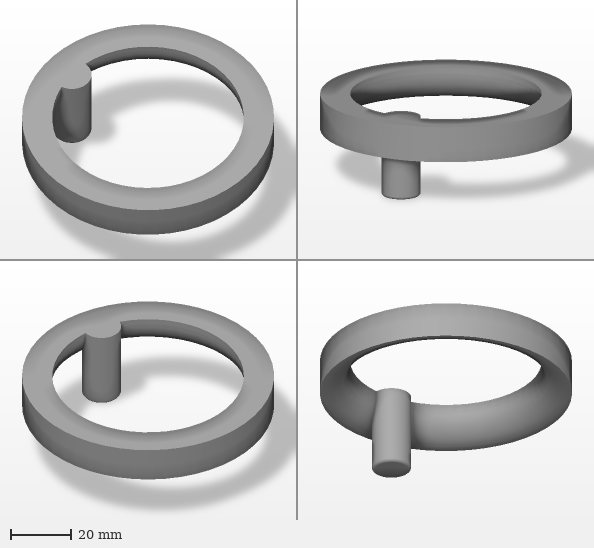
import cadquery as cq

outer_diameter = 83.4
opening_diameter = 63.4
ring_height = 12.0
straight_depth = 2.0

pin_diameter = 13.0
pin_end_round = 1.0
total_height = 27.0

outer_radius = outer_diameter / 2
opening_radius = opening_diameter / 2
round_radius = outer_radius - opening_radius


def make_ring():
    """Revolve a section whose inner lower corner is a large quarter round."""
    round_height = ring_height - straight_depth
    return (
        cq.Workplane("XZ")
        .moveTo(opening_radius, ring_height)
        .lineTo(outer_radius, ring_height)
        .lineTo(outer_radius, 0)
        .radiusArc((opening_radius, round_height), round_radius)
        .close()
        .revolve(360, (0, 0, 0), (0, 1, 0))
    )


def make_pin():
    """Pin standing on the opening's edge, flush with the top of the ring."""
    return (
        cq.Workplane("XY", origin=(-opening_radius, 0, ring_height - total_height))
        .circle(pin_diameter / 2)
        .extrude(total_height)
        .faces("<Z")
        .edges()
        .fillet(pin_end_round)
    )


result = make_ring().union(make_pin())